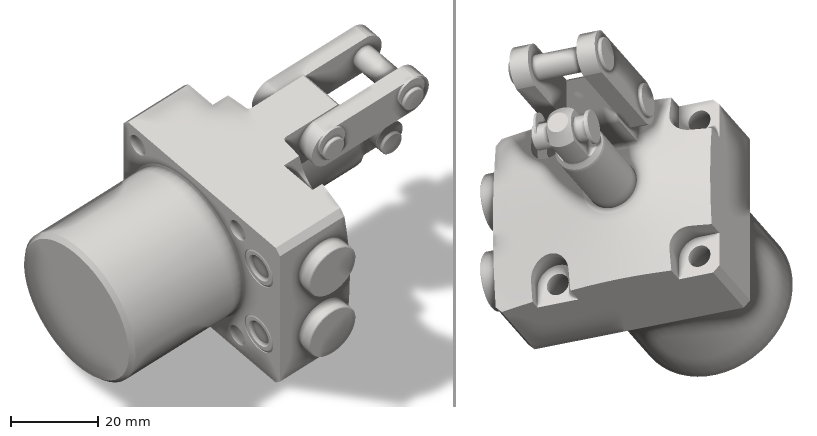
import cadquery as cq
import math


FLANGE_HALF = 22.5
FLANGE_RIGHT = 32.5
FLANGE_LENGTH = 27.7
CORNER_CHAMFER = 1.6
CONE_TOP_RADIUS = 7.4
CONE_ANGLE = 15

EMBED_Y = 17.5

HOLE_OFFSET = 17.6
HOLE_DIAMETER = 5.4
SPOTFACE_RADIUS = 5.0
SPOTFACE_FLOOR = 18.2

BARREL_RADIUS = 19.5
BARREL_LENGTH = 33.5
BARREL_CHAMFER = 1.1
COLLAR_RADIUS = 20.0
COLLAR_LENGTH = 0.3

PORT_X = 25.0
PORT_Z = 11.0
SEAT_OUTER_RADIUS = 5.0
SEAT_LAND_OUTER_RADIUS = 4.5
SEAT_LAND_INNER_RADIUS = 3.5
SEAT_FLOOR_RADIUS = 2.8
SEAT_GROOVE_DEPTH = 0.3
SEAT_RECESS_DEPTH = 0.7

PLUG_RADIUS = 7.0
PLUG_LENGTH = 3.8
PLUG_EDGE = 0.2
PLUG_Y = 12.6
PLUG_Z = 10.1

BOSS_HALF_WIDTH = 6.0
BOSS_END = 40.7
BOSS_BOTTOM = 10.2
BOSS_NOSE_RADIUS = 3.0
BOSS_TOP_CHAMFER = 0.8
BOSS_ROOT_FILLET = 1

LINK_THICKNESS = 4.6
LINK_HALF_HEIGHT = 5.4
LINK_END_RADIUS = 5.6
LINK_PITCH = 24.0
LINK_INNER = BOSS_HALF_WIDTH
LINK_OUTER = LINK_INNER + LINK_THICKNESS
PIVOT_Y = 33.9
PIVOT_Z = 16.6
FAR_PIN_Y = PIVOT_Y + LINK_PITCH

PIN_RADIUS = 3.0
PIN_HEAD_RADIUS = 4.0
PIN_HEAD_THICKNESS = 0.9
PIN_EDGE = 0.2
CLIP_RADIUS = 3.9
CLIP_RISE = 1.9
CLIP_THICKNESS = 0.6
PIN_TAIL = 1.5

ROD_RADIUS = 6.0
ROD_NECK_RADIUS = 5.9
TONGUE_RADIUS = 5.0
TONGUE_HALF_WIDTH = 3.0
TONGUE_CHAMFER = 2.5
TONGUE_ROOT_FILLET = 0.6
ROD_SHOULDER = 48.9
ROD_NECK_Y = 47.5
ROD_BEVEL_Y = 46.8
ROD_END = 60.1
ROD_PIN_Y = 55.2

MARGIN = 0.1


def y_cylinder(x, z, radius, y_start, y_end):
    """Cylinder parallel to Y."""
    start = cq.Vector(x, y_start, z)
    return cq.Workplane(cq.Solid.makeCylinder(radius, y_end - y_start, start, cq.Vector(0, 1, 0)))


def x_cylinder(y, z, radius, x_start, x_end):
    """Cylinder parallel to X."""
    start = cq.Vector(x_start, y, z)
    return cq.Workplane(cq.Solid.makeCylinder(radius, x_end - x_start, start, cq.Vector(1, 0, 0)))


def block(x_range, y_range, z_range):
    """Box between two limits along each axis."""
    size = [high - low for low, high in (x_range, y_range, z_range)]
    corner = cq.Vector(x_range[0], y_range[0], z_range[0])
    return cq.Workplane(cq.Solid.makeBox(*size, corner))


def turned(points):
    """Solid of revolution about Y from (radius, y) points."""
    return cq.Workplane("XY").polyline(points).close().revolve(360, (0, 0), (0, 1))


def make_flange():
    """Chamfered block with a flat-topped conical front face."""
    flange = block((-FLANGE_HALF, FLANGE_RIGHT), (0, FLANGE_LENGTH), (-FLANGE_HALF, FLANGE_HALF))
    flange = flange.edges("|Y").chamfer(CORNER_CHAMFER)
    rim_radius = FLANGE_RIGHT + FLANGE_HALF
    rim_y = FLANGE_LENGTH - (rim_radius - CONE_TOP_RADIUS) * math.tan(math.radians(CONE_ANGLE))
    envelope = turned([(0, 0), (rim_radius, 0), (rim_radius, rim_y),
                       (CONE_TOP_RADIUS, FLANGE_LENGTH), (0, FLANGE_LENGTH)])
    return flange.intersect(envelope)


def make_boss():
    """Pivot boss with a rounded nose, running back into the flange."""
    boss = block((-BOSS_HALF_WIDTH, BOSS_HALF_WIDTH), (EMBED_Y, BOSS_END), (BOSS_BOTTOM, FLANGE_HALF))
    boss = boss.faces(">Y").edges("<Z").fillet(BOSS_NOSE_RADIUS)
    return boss.faces(">Y").edges(">Z").chamfer(BOSS_TOP_CHAMFER)


def spotface(side_x, side_z):
    """Cutter for one mounting hole: a slot open to the Z side, and to the -X side at the left corners."""
    x = side_x * HOLE_OFFSET
    z = side_z * HOLE_OFFSET
    reach = 2 * SPOTFACE_RADIUS
    cutter = y_cylinder(x, z, SPOTFACE_RADIUS, SPOTFACE_FLOOR, FLANGE_LENGTH)
    z_side = sorted((z, z + side_z * reach))
    slot = block((x - SPOTFACE_RADIUS, x + SPOTFACE_RADIUS), (SPOTFACE_FLOOR, FLANGE_LENGTH), z_side)
    cutter = cutter.union(slot)
    if side_x < 0:
        z_full = sorted((z - side_z * SPOTFACE_RADIUS, z + side_z * reach))
        cutter = cutter.union(block((x - reach, x), (SPOTFACE_FLOOR, FLANGE_LENGTH), z_full))
    return cutter.union(y_cylinder(x, z, HOLE_DIAMETER / 2, 0, FLANGE_LENGTH))


def make_barrel():
    """Cylinder barrel with a chamfered end and a tapered collar at the flange."""
    end_y = -BARREL_LENGTH
    return turned([(0, 0), (COLLAR_RADIUS, 0), (BARREL_RADIUS, -COLLAR_LENGTH),
                   (BARREL_RADIUS, end_y + BARREL_CHAMFER),
                   (BARREL_RADIUS - BARREL_CHAMFER, end_y), (0, end_y)])


def port_seat(z):
    """Cutter for one port seat: a bevelled groove around a flat land, and a tapered recess inside it."""
    groove = turned([(SEAT_OUTER_RADIUS, 0), (SEAT_OUTER_RADIUS, SEAT_GROOVE_DEPTH),
                     (SEAT_LAND_OUTER_RADIUS, 0)])
    recess = turned([(0, 0), (SEAT_LAND_INNER_RADIUS, 0), (SEAT_FLOOR_RADIUS, SEAT_RECESS_DEPTH),
                     (0, SEAT_RECESS_DEPTH)])
    return groove.add(recess).combine().translate((PORT_X, 0, z))


def make_plug(z):
    """Round port plug on the +X side."""
    plug = x_cylinder(PLUG_Y, z, PLUG_RADIUS, FLANGE_RIGHT, FLANGE_RIGHT + PLUG_LENGTH)
    return plug.faces(">X").chamfer(PLUG_EDGE)


def make_pin(grip, y, z):
    """Pin along X with a head at -X and an off-centre retaining clip at +X, gripping -grip to +grip."""
    head = x_cylinder(y, z, PIN_HEAD_RADIUS, -grip - PIN_HEAD_THICKNESS, -grip)
    head = head.faces("<X").chamfer(PIN_EDGE)
    shank = x_cylinder(y, z, PIN_RADIUS, -grip, grip + PIN_TAIL).faces(">X").chamfer(PIN_EDGE)
    clip = x_cylinder(y, z + CLIP_RISE, CLIP_RADIUS, grip, grip + CLIP_THICKNESS)
    return head.union(shank).union(clip)


def tongue_blank():
    """Flat plate around the tongue, flared by a round fillet on each side where it meets the shoulder."""
    flared = TONGUE_HALF_WIDTH + TONGUE_ROOT_FILLET
    fillet_end = ROD_SHOULDER + TONGUE_ROOT_FILLET
    arc_inset = TONGUE_ROOT_FILLET * (1 - math.sqrt(0.5))
    arc_x = TONGUE_HALF_WIDTH + arc_inset
    arc_y = ROD_SHOULDER + arc_inset
    outline = (
        cq.Workplane("XY")
        .moveTo(-flared, ROD_NECK_Y)
        .lineTo(flared, ROD_NECK_Y)
        .lineTo(flared, ROD_SHOULDER)
        .threePointArc((arc_x, arc_y), (TONGUE_HALF_WIDTH, fillet_end))
        .lineTo(TONGUE_HALF_WIDTH, ROD_END)
        .lineTo(-TONGUE_HALF_WIDTH, ROD_END)
        .lineTo(-TONGUE_HALF_WIDTH, fillet_end)
        .threePointArc((-arc_x, arc_y), (-flared, ROD_SHOULDER))
        .close()
    )
    return outline.extrude(ROD_RADIUS, both=True)


def make_rod():
    """Piston rod with a flat-sided tongue and its cross pin."""
    shaft = turned([(0, EMBED_Y), (ROD_RADIUS, EMBED_Y), (ROD_RADIUS, ROD_BEVEL_Y),
                    (ROD_NECK_RADIUS, ROD_NECK_Y), (TONGUE_RADIUS, ROD_SHOULDER), (0, ROD_SHOULDER)])
    tongue = y_cylinder(0, 0, TONGUE_RADIUS, ROD_NECK_Y, ROD_END).faces(">Y").chamfer(TONGUE_CHAMFER)
    rod = shaft.union(tongue.intersect(tongue_blank()))
    return rod.union(make_pin(BOSS_HALF_WIDTH, ROD_PIN_Y, 0))


def make_housing():
    """Flange, boss, barrel, plugs and piston rod as one body."""
    housing = make_flange().union(make_boss())
    root_box = cq.selectors.BoxSelector(
        (-BOSS_HALF_WIDTH - MARGIN, EMBED_Y, BOSS_BOTTOM - MARGIN),
        (BOSS_HALF_WIDTH + MARGIN, FLANGE_LENGTH, FLANGE_HALF - MARGIN),
    )
    housing = housing.edges(root_box).fillet(BOSS_ROOT_FILLET)
    for side_x in (-1, 1):
        for side_z in (-1, 1):
            housing = housing.cut(spotface(side_x, side_z))
    housing = housing.union(make_barrel())
    for side_z in (-1, 1):
        housing = housing.cut(port_seat(side_z * PORT_Z))
        housing = housing.union(make_plug(side_z * PLUG_Z))
    housing = housing.cut(x_cylinder(PIVOT_Y, PIVOT_Z, PIN_RADIUS, -BOSS_HALF_WIDTH, BOSS_HALF_WIDTH))
    return housing.union(make_rod())


def make_link(x_start):
    """Link plate with round ends and a hole for each pin."""
    x_range = (x_start, x_start + LINK_THICKNESS)
    z_range = (PIVOT_Z - LINK_HALF_HEIGHT, PIVOT_Z + LINK_HALF_HEIGHT)
    link = block(x_range, (PIVOT_Y, FAR_PIN_Y), z_range)
    for y in (PIVOT_Y, FAR_PIN_Y):
        link = link.union(x_cylinder(y, PIVOT_Z, LINK_END_RADIUS, *x_range))
    link = link.intersect(block(x_range, (PIVOT_Y - LINK_END_RADIUS, FAR_PIN_Y + LINK_END_RADIUS), z_range))
    for y in (PIVOT_Y, FAR_PIN_Y):
        link = link.cut(x_cylinder(y, PIVOT_Z, PIN_RADIUS, *x_range))
    return link


housing = make_housing()
links = [make_link(x_start) for x_start in (-LINK_OUTER, LINK_INNER)]
link_pins = [make_pin(LINK_OUTER, y, PIVOT_Z) for y in (PIVOT_Y, FAR_PIN_Y)]

result = cq.Compound.makeCompound([body.val() for body in [housing, *links, *link_pins]])